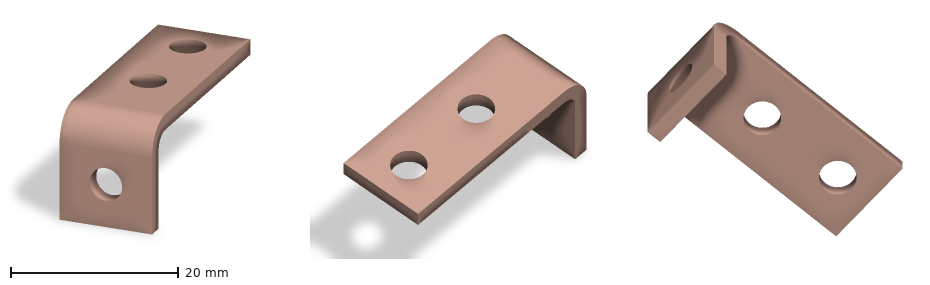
import cadquery as cq

length = 30.0
width = 12.0
height = 14.0
thickness = 2.0

outer_radius = 4.0
inner_radius = outer_radius - thickness

long_leg_hole_diameter = 4.5
long_leg_end_distance = 5.0
long_leg_hole_spacing = 12.0
short_leg_hole_diameter = 4.2
short_leg_end_distance = 5.5


def bent_strip():
    """L profile in the YZ plane, extruded symmetrically about X = 0.

    The outer face of the short leg is at Y = 0 and its free end at Z = 0.
    """
    profile = (
        cq.Workplane("YZ")
        .moveTo(0, 0)
        .lineTo(0, height - outer_radius)
        .radiusArc((outer_radius, height), outer_radius)
        .lineTo(length, height)
        .lineTo(length, height - thickness)
        .lineTo(outer_radius, height - thickness)
        .radiusArc((thickness, height - outer_radius), -inner_radius)
        .lineTo(thickness, 0)
        .close()
    )
    return profile.extrude(width / 2, both=True)


def long_leg_holes():
    """Vertical cutters for the two holes through the long leg."""
    end_hole_y = length - long_leg_end_distance
    return (
        cq.Workplane("XY", origin=(0, 0, height - thickness))
        .pushPoints([(0, end_hole_y), (0, end_hole_y - long_leg_hole_spacing)])
        .circle(long_leg_hole_diameter / 2)
        .extrude(thickness)
    )


def short_leg_hole():
    """Cutter along Y for the hole through the short leg."""
    return (
        cq.Workplane("XZ", origin=(0, thickness, short_leg_end_distance))
        .circle(short_leg_hole_diameter / 2)
        .extrude(thickness)
    )


result = bent_strip().cut(long_leg_holes()).cut(short_leg_hole())